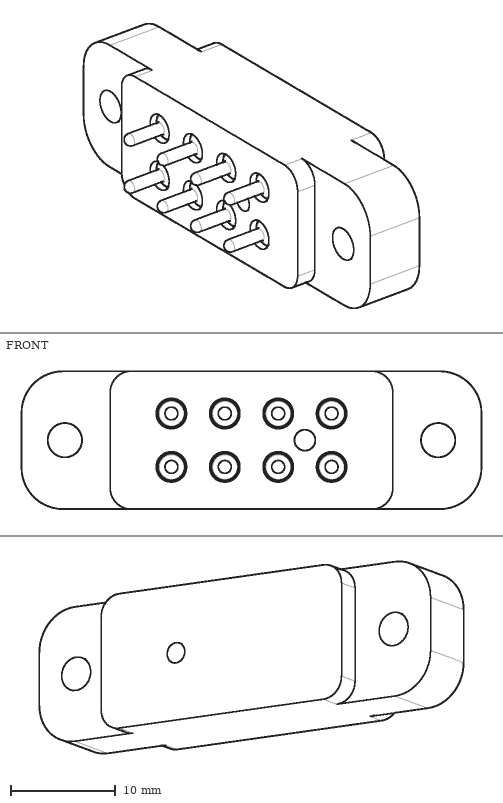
import cadquery as cq

FLANGE_LENGTH = 44.0
HEIGHT = 13.2
FLANGE_THICKNESS = 6.05
FLANGE_CORNER_RADIUS = 4.0
MOUNT_HOLE_SPACING = 35.7
MOUNT_HOLE_DIAMETER = 3.25

BODY_LENGTH = 27.0
BODY_CORNER_RADIUS = 2.02
FRONT_STEP = 2.1
BACK_STEP = 2.45
BODY_DEPTH = FRONT_STEP + FLANGE_THICKNESS + BACK_STEP

COLUMNS = 4
ROWS = 2
PITCH = 5.1
KEY_HOLE_DIAMETER = 2.0
KEY_HOLE_X = (COLUMNS / 2 - 1) * PITCH

RECESS_RADIUS = 1.45
RECESS_DEPTH = 1.0
COLLAR_RADIUS = 1.4
COLLAR_HEIGHT = 0.4
COLLAR_CHAMFER = 0.15
PIN_RADIUS = 0.6
PIN_LENGTH = 4.2
ROOT_RADIUS = 0.55


def rounded_plate(length, corner_radius, front_y, depth):
    """Plate of full height whose front face is at front_y, with its corners rounded about Y."""
    return (
        cq.Workplane("XY")
        .box(length, depth, HEIGHT)
        .edges("|Y")
        .fillet(corner_radius)
        .translate((0, front_y + depth / 2, 0))
    )


def through_hole(x, diameter):
    """Cutter for a hole along Y, at mid-height, through the whole depth."""
    return cq.Workplane("XZ", origin=(x, 0, 0)).circle(diameter / 2).extrude(-BODY_DEPTH)


def recess():
    """Cutter for the round recess at the foot of one contact."""
    return cq.Workplane("XZ").circle(RECESS_RADIUS).extrude(-RECESS_DEPTH)


def contact():
    """One contact turned about Y, from the recess floor to the pin tip."""
    collar_top = RECESS_DEPTH - COLLAR_HEIGHT
    tip_start = PIN_RADIUS - PIN_LENGTH
    return (
        cq.Workplane("XY")
        .moveTo(0, RECESS_DEPTH)
        .lineTo(COLLAR_RADIUS, RECESS_DEPTH)
        .lineTo(COLLAR_RADIUS, collar_top + COLLAR_CHAMFER)
        .lineTo(COLLAR_RADIUS - COLLAR_CHAMFER, collar_top)
        .lineTo(PIN_RADIUS + ROOT_RADIUS, collar_top)
        .radiusArc((PIN_RADIUS, collar_top - ROOT_RADIUS), -ROOT_RADIUS)
        .lineTo(PIN_RADIUS, tip_start)
        .radiusArc((0, -PIN_LENGTH), PIN_RADIUS)
        .close()
        .revolve(360, (0, 0, 0), (0, 1, 0))
    )


result = rounded_plate(BODY_LENGTH, BODY_CORNER_RADIUS, 0, BODY_DEPTH).union(
    rounded_plate(FLANGE_LENGTH, FLANGE_CORNER_RADIUS, FRONT_STEP, FLANGE_THICKNESS)
)

for side in (-1, 1):
    result = result.cut(through_hole(side * MOUNT_HOLE_SPACING / 2, MOUNT_HOLE_DIAMETER))
result = result.cut(through_hole(KEY_HOLE_X, KEY_HOLE_DIAMETER))

for column in range(COLUMNS):
    for row in range(ROWS):
        place = ((column - (COLUMNS - 1) / 2) * PITCH, 0, (row - (ROWS - 1) / 2) * PITCH)
        result = result.cut(recess().translate(place)).union(contact().translate(place))